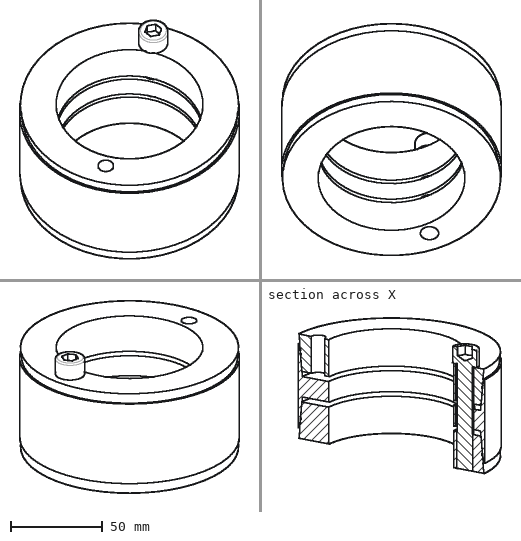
import cadquery as cq
import math

height = 60.0
outer_radius = 60.0
bore_radius = 80.0 / 2
collar_lip = 6.0
collar_rim_radius = 59.5
cone_angle = 6.0
web_thickness = 12.0
gap = 2.6

pitch_radius = 47.0
head_diameter = 16.0
head_height = 10.0
head_fillet = 1.0
shank_diameter = 10.0
clearance_diameter = 11.0
jacking_diameter = 8.4
socket_width = 8.0
socket_depth = 5.0
socket_cone_depth = 2.3

web_bottom = (height - web_thickness) / 2
web_top = web_bottom + web_thickness
collar_height = web_bottom - gap


def cone_radius(depth):
    """Cone radius at a depth below the outer face of a collar."""
    return collar_rim_radius - depth * math.tan(math.radians(cone_angle))


def vertical_rod(diameter, y, bottom, top):
    return cq.Workplane("XY", origin=(0, y, bottom)).circle(diameter / 2).extrude(top - bottom)


def revolve_profile(points):
    """Revolve a closed (radius, z) outline about the Z axis."""
    return cq.Workplane("XZ").polyline(points).close().revolve(360, (0, 0, 0), (0, 1, 0))


def make_collar_blank():
    """Coned collar with its wide face on z = 0."""
    return revolve_profile([
        (bore_radius, 0),
        (cone_radius(0), 0),
        (cone_radius(collar_height), collar_height),
        (bore_radius, collar_height),
    ])


def make_top_collar():
    bottom = height - collar_height
    collar = make_collar_blank().mirror("XY").translate((0, 0, height))
    collar = collar.cut(vertical_rod(clearance_diameter, pitch_radius, bottom, height))
    return collar.cut(vertical_rod(jacking_diameter, -pitch_radius, bottom, height))


def make_bottom_collar():
    """Collar whose through hole is filled by the screw shank."""
    return make_collar_blank().cut(vertical_rod(shank_diameter, pitch_radius, 0, collar_height))


def make_outer_ring():
    """Cylinder with a cone at each end and a web between them."""
    mouth_radius = cone_radius(collar_lip)
    root_radius = cone_radius(web_bottom)
    ring = revolve_profile([
        (outer_radius, collar_lip),
        (outer_radius, height - collar_lip),
        (mouth_radius, height - collar_lip),
        (root_radius, web_top),
        (bore_radius, web_top),
        (bore_radius, web_bottom),
        (root_radius, web_bottom),
        (mouth_radius, collar_lip),
    ])
    return ring.cut(vertical_rod(clearance_diameter, pitch_radius, web_bottom, web_top))


def make_socket(top):
    """Hexagon socket with corners toward +Y and -Y and a conical floor."""
    corner_radius = socket_width / math.sqrt(3)
    hexagon = (
        cq.Workplane("XY", origin=(0, pitch_radius, top))
        .transformed(rotate=(0, 0, 90))
        .polygon(6, 2 * corner_radius)
        .extrude(-socket_depth - socket_cone_depth)
    )
    drill = revolve_profile([
        (0, top),
        (corner_radius, top),
        (corner_radius, top - socket_depth),
        (0, top - socket_depth - socket_cone_depth),
    ])
    return hexagon.intersect(drill.translate((0, pitch_radius, 0)))


def make_screw():
    top = height + head_height
    head = vertical_rod(head_diameter, pitch_radius, height, top).faces(">Z").edges().fillet(head_fillet)
    shank = vertical_rod(shank_diameter, pitch_radius, 0, height)
    return head.union(shank).cut(make_socket(top))


outer_ring = make_outer_ring()
top_collar = make_top_collar()
bottom_collar = make_bottom_collar()
screw = make_screw()

result = cq.Compound.makeCompound([
    outer_ring.val(),
    top_collar.val(),
    bottom_collar.val(),
    screw.val(),
])